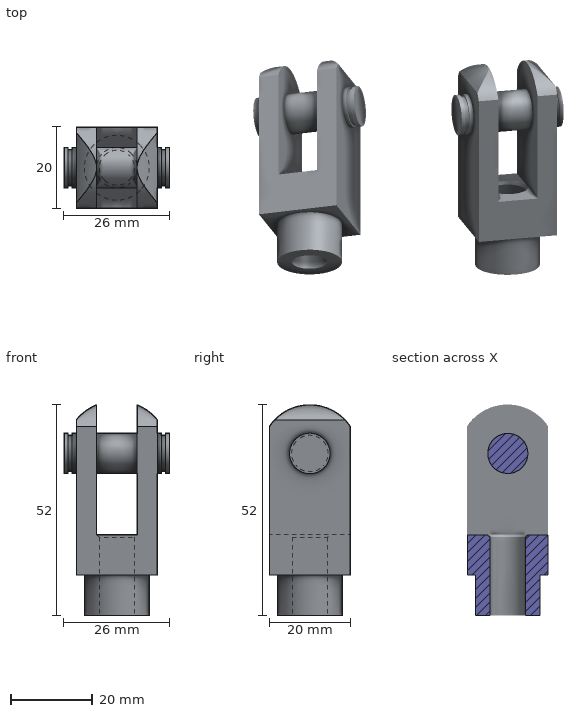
import cadquery as cq
import math

body_width = 20.0
body_bottom = 10.0
slot_width = 10.0
slot_floor = 20.0

pin_axis_height = 40.0
crown_radius = 12.0
total_height = pin_axis_height + crown_radius
cheek_radius = math.hypot(slot_width / 2, crown_radius)

shank_diameter = 16.0
bore_diameter = 8.65
bore_mouth_diameter = 10.0
bore_mouth_depth = (bore_mouth_diameter - bore_diameter) / 2

pin_diameter = 10.0
pin_length = 26.0
groove_diameter = 9.0
groove_width = 1.0
groove_end_distance = 1.0


def rounded_outline(plane, radius):
    """Bar along the plane normal: straight sides, with an arc on top about the pin axis."""
    half_width = body_width / 2
    shoulder = pin_axis_height + math.sqrt(radius**2 - half_width**2)
    return (
        cq.Workplane(plane)
        .moveTo(-half_width, body_bottom)
        .lineTo(half_width, body_bottom)
        .lineTo(half_width, shoulder)
        .threePointArc((0, pin_axis_height + radius), (-half_width, shoulder))
        .close()
        .extrude(body_width / 2, both=True)
    )


def make_fork():
    """Square body rounded in both directions, with a slot open at the top."""
    body = rounded_outline("YZ", crown_radius).intersect(rounded_outline("XZ", cheek_radius))
    slot_height = total_height - slot_floor
    slot = (
        cq.Workplane("XY", origin=(0, 0, slot_floor))
        .rect(slot_width, body_width)
        .extrude(slot_height)
    )
    return body.cut(slot)


def make_shank():
    return cq.Workplane("XY").circle(shank_diameter / 2).extrude(body_bottom)


def make_bore():
    """Bore from the shank end to the slot floor, with a 45 degree mouth at the floor."""
    bore_radius = bore_diameter / 2
    return (
        cq.Workplane("XZ")
        .lineTo(bore_radius, 0)
        .lineTo(bore_radius, slot_floor - bore_mouth_depth)
        .lineTo(bore_mouth_diameter / 2, slot_floor)
        .lineTo(0, slot_floor)
        .close()
        .revolve(360, (0, 0), (0, 1))
    )


def cylinder_along_x(diameter, start, length):
    return (
        cq.Workplane("YZ", origin=(start, 0, pin_axis_height))
        .circle(diameter / 2)
        .extrude(length)
    )


def make_pin():
    pin = cylinder_along_x(pin_diameter, -pin_length / 2, pin_length)
    groove_outer = pin_length / 2 - groove_end_distance
    for groove_start in (-groove_outer, groove_outer - groove_width):
        ring = cylinder_along_x(pin_diameter, groove_start, groove_width)
        core = cylinder_along_x(groove_diameter, groove_start, groove_width)
        pin = pin.cut(ring.cut(core))
    return pin


result = make_fork().union(make_shank()).cut(make_bore()).union(make_pin())